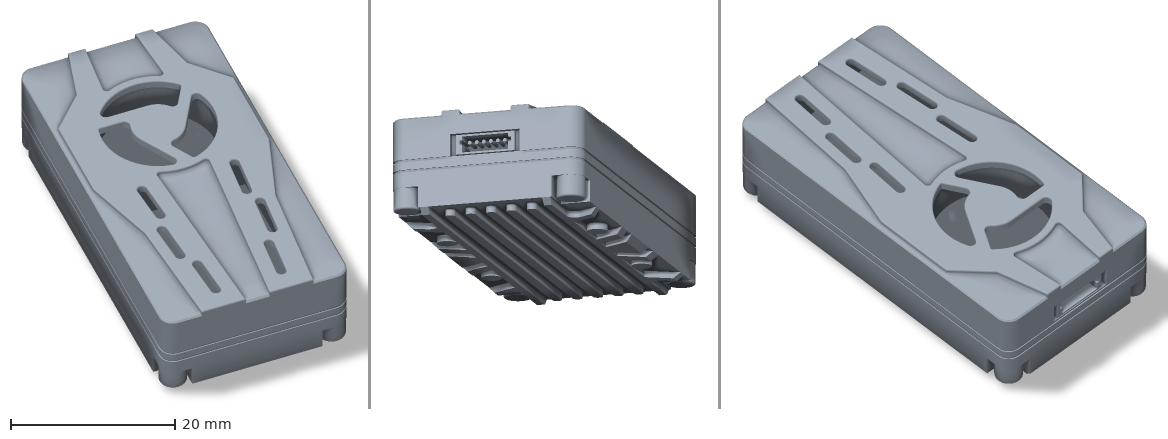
import cadquery as cq
import math

length = 47.45
width = 24.5
height = 12.75
corner_radius = 1.8
half_length = length / 2
half_width = width / 2
tolerance = 0.005

body_bottom = 0.8
relief_height = 0.55
lid_level = height - relief_height
lid_chamfer = 0.25
relief_fillet = 0.25
seam_levels = (5.5, 6.8)
seam_width = 0.3
seam_depth = 0.15
chamber_floor = 6.95
chamber_ceiling = 11.65

foot_top = 3.45
foot_radius = 1.75
foot_clearance = 0.1
foot_pocket = 2 * corner_radius + foot_clearance
foot_fillet = 0.25

strip_outer = 8.3
strip_inner = 7.3
fin_count = 5
fin_width = 1.25
fin_pitch = 2.6
fin_length = 43.65
notch_lean = 0.52
corner_notch_start = 17.45
notch_fillet = 1.05
side_notches = ((7.2, 16.05), (3.35, 5.15))
post_x = 8.83
post_radius = 1.3

relief_outline = [
    (-half_length, 5.55), (-16.75, 7.3), (-12.2, 11.6),
    (-0.8, 11.6), (8.5, 8.65), (half_length, 7.35),
]
relief_channels = ((-1, 3.27, 4.0), (1, 1.55, 3.45))
channel_fillet = 0.45

fan_x = -8.35
fan_ring_radius = 8.3
fan_opening_radius = 7.25
fan_hub_radius = 3.4
fan_spoke_offset = 1.9
fan_spoke_angle = 150.0
fan_blades = 3
fan_tip_fillet = 0.25
fan_corner_fillet = 0.65
fan_chamber_radius = 7.6
rim_fillet = 0.25

slot_length = 6.1
slot_width = 1.2
slot_angle = 4.7
slot_centres = ((3.9, 5.9), (11.2, 6.25), (18.3, 4.5))
vent_chamber_start = 0.0
vent_chamber_end = 21.85
vent_chamber_half_width = 8.05
vent_ledge_start = 14.25
vent_ledge_y = 4.45
vent_ledge_height = 1.4

socket_half_width = 4.45
socket_top = 9.7
socket_depth = 0.7
plug_half_width = 3.75
plug_bottom = 7.05
plug_top = 9.55
plug_setback = 0.15
mouth_half_width = 2.95
mouth_bottom = 7.3
mouth_top = 9.3
mouth_depth = 3.3
key_half_width = 3.27
key_bottom = 8.3
key_top = 8.83
pin_count = 6
pin_pitch = 0.9
pin_level = 8.7
pin_radius = 0.25
pin_length = 2.35


def box(x_min, x_max, y_min, y_max, z_min, z_max):
    """Box given by its limits along each axis."""
    return cq.Workplane("XY").box(
        x_max - x_min, y_max - y_min, z_max - z_min, centered=False
    ).translate((x_min, y_min, z_min))


def rounded_block(z_min, z_max, inset=0.0):
    """Block with the outline of the enclosure, optionally inset."""
    x = half_length - inset
    y = half_width - inset
    block = box(-x, x, -y, y, z_min, z_max)
    return block.edges("|Z").fillet(corner_radius - inset)


def prism(points, z_min, z_max):
    """Upright prism over a closed outline."""
    return cq.Workplane("XY").workplane(offset=z_min).polyline(points).close().extrude(z_max - z_min)


def four_corners(shape):
    """The shape together with its mirror images across the XZ and YZ planes."""
    pair = shape.union(shape.mirror("XZ"))
    return pair.union(pair.mirror("YZ"))


def make_body():
    """Rounded body with a chamfered lid and two seams around its walls."""
    body = rounded_block(body_bottom, lid_level)
    body = body.faces(">Z").edges().chamfer(lid_chamfer)
    for level in seam_levels:
        z_min = level - seam_width / 2
        z_max = level + seam_width / 2
        seam = rounded_block(z_min, z_max).cut(rounded_block(z_min, z_max, seam_depth))
        body = body.cut(seam)
    return body


def make_feet():
    """Round feet, centred on the axes of the rounded corners."""
    foot = (
        cq.Workplane("XY").workplane(offset=body_bottom)
        .center(half_length - corner_radius, half_width - corner_radius)
        .circle(foot_radius).extrude(foot_top - body_bottom)
        .faces("<Z").edges().fillet(foot_fillet)
    )
    return four_corners(foot)


def make_foot_pockets():
    """Square pockets around the feet."""
    pocket = box(
        half_length - foot_pocket, half_length, half_width - foot_pocket, half_width, body_bottom, foot_top
    )
    return four_corners(pocket)


def channel(side, end_half_width, fan_half_width):
    """Sunken channel between an end face and the fan, closed by an arc around the fan."""
    corner_x = fan_x + side * math.sqrt(fan_ring_radius**2 - fan_half_width**2)
    cutter = (
        cq.Workplane("XY").workplane(offset=lid_level - lid_chamfer)
        .moveTo(side * half_length, end_half_width)
        .lineTo(corner_x, fan_half_width)
        .threePointArc((fan_x + side * fan_ring_radius, 0), (corner_x, -fan_half_width))
        .lineTo(side * half_length, -end_half_width)
        .close().extrude(relief_height + lid_chamfer)
    )
    fan_edges = cutter.edges("|Z").edges("<X" if side > 0 else ">X")
    return fan_edges.fillet(channel_fillet)


def make_relief():
    """Sharp prism of the raised pattern, running down past the chamfer of the lid."""
    lower_half = [(x, -y) for x, y in reversed(relief_outline)]
    relief = prism(relief_outline + lower_half, lid_level - lid_chamfer, height)
    for side, end_half_width, fan_half_width in relief_channels:
        relief = relief.cut(channel(side, end_half_width, fan_half_width))
    return relief


def edges_inside(body, inset, level):
    """Edges at one level that lie wholly within the inset outline of the enclosure."""
    x = half_length - inset
    y = half_width - inset
    found = cq.selectors.BoxSelector((-x, -y, level - tolerance), (x, y, level + tolerance))
    return body.edges(found)


def add_relief(body):
    """Body with the raised pattern on its lid, rounded along its top and its foot."""
    body = body.union(make_relief())
    body = edges_inside(body, tolerance, height).fillet(relief_fillet)
    body = edges_inside(body, lid_chamfer + tolerance, lid_level).fillet(relief_fillet)
    return body.cut(make_end_rounding())


def make_end_rounding():
    """Waste outside the rounded upper edges of the raised pattern at both end faces."""
    x_min = half_length - relief_fillet
    z_min = height - relief_fillet
    waste = box(x_min, half_length, -half_width, half_width, z_min, height)
    round_edge = (
        cq.Workplane("XZ").workplane(offset=-half_width)
        .center(x_min, z_min).circle(relief_fillet).extrude(width)
    )
    waste = waste.cut(round_edge)
    return waste.union(waste.mirror("YZ"))


def make_fan_opening():
    """One of the three openings: outside the hub, between a spoke and a tangent of the hub."""
    spoke_angle = math.radians(fan_spoke_angle)
    spoke = (math.cos(spoke_angle), math.sin(spoke_angle))
    spoke_normal = (math.sin(spoke_angle), -math.cos(spoke_angle))

    def spoke_point(radius):
        along = math.sqrt(radius**2 - fan_spoke_offset**2)
        return tuple(along * s + fan_spoke_offset * n for s, n in zip(spoke, spoke_normal))

    hub_corner = spoke_point(fan_hub_radius)
    hub_middle_angle = (math.pi + math.atan2(hub_corner[1], hub_corner[0])) / 2
    hub_middle = (fan_hub_radius * math.cos(hub_middle_angle), fan_hub_radius * math.sin(hub_middle_angle))
    tangent_end = (-fan_hub_radius, -math.sqrt(fan_opening_radius**2 - fan_hub_radius**2))
    return (
        cq.Workplane("XY").workplane(offset=chamber_ceiling)
        .moveTo(-fan_hub_radius, 0)
        .threePointArc(hub_middle, hub_corner)
        .lineTo(*spoke_point(fan_opening_radius))
        .threePointArc((-fan_opening_radius, 0), tangent_end)
        .close().extrude(height - chamber_ceiling)
    )


def make_heat_sink():
    """Fins and notched side strips under the body, with the outer sides bevelled at 45 degrees."""
    sink = (
        cq.Workplane("XY").workplane(offset=body_bottom).sketch().rect(length, width)
        .vertices().fillet(corner_radius).finalize().extrude(-body_bottom, taper=45)
    )
    sink = sink.cut(box(-half_length, half_length, -strip_inner, strip_inner, 0, body_bottom))
    for index in range(fin_count):
        fin_y = (index - (fin_count - 1) / 2) * fin_pitch
        fin = (
            cq.Workplane("XY").center(0, fin_y)
            .slot2D(fin_length, fin_width).extrude(body_bottom)
        )
        sink = sink.union(fin)

    depth = half_width - strip_outer
    lean = notch_lean * depth
    corner_notch = prism(
        [
            (half_length, strip_outer), (corner_notch_start - lean, strip_outer),
            (corner_notch_start, half_width), (half_length, half_width),
        ],
        0, body_bottom,
    ).edges("|Z").edges("<X").fillet(notch_fillet)
    sink = sink.cut(four_corners(corner_notch))
    for start, end in side_notches:
        notch = prism(
            [
                (start - lean, strip_outer), (end - lean, strip_outer),
                (end, half_width), (start, half_width),
            ],
            0, body_bottom,
        )
        sink = sink.cut(four_corners(notch))

    post_y = strip_outer + post_radius
    post = cq.Workplane("XY").center(post_x, post_y).circle(post_radius).extrude(body_bottom)
    return sink.union(four_corners(post))


def cut_rimmed_openings(body):
    """Cut the fan openings and the vent slots through the lid and round their rims."""
    body = body.cut(make_vent_slots()).cut(make_fan_openings())
    top_face = body.faces(">Z").val()
    rims = [edge for wire in top_face.innerWires() for edge in wire.Edges()]
    return body.newObject(rims).fillet(rim_fillet)


def make_vent_slots():
    """Slots through the lid, mirrored across the X axis and following the channel edges."""
    slots = cq.Workplane("XY")
    for x, y in slot_centres:
        for side in (-1, 1):
            slot = (
                cq.Workplane("XY").workplane(offset=chamber_ceiling).slot2D(slot_length, slot_width)
                .extrude(height - chamber_ceiling)
                .rotate((0, 0, 0), (0, 0, 1), -side * slot_angle).translate((x, side * y, 0))
            )
            slots = slots.add(slot)
    return slots.combine()


def make_fan_openings():
    """Three openings spaced evenly around the fan axis."""
    opening = make_fan_opening()
    opening = opening.edges("|Z").edges(">Y").fillet(fan_tip_fillet)
    opening = opening.edges("|Z").edges(">X or <Y").fillet(fan_corner_fillet)
    openings = cq.Workplane("XY")
    for index in range(fan_blades):
        turned = opening.rotate((0, 0, 0), (0, 0, 1), index * 360 / fan_blades)
        openings = openings.add(turned.translate((fan_x, 0, 0)))
    return openings.combine()


def make_chamber():
    """Hollow below the lid: a round fan chamber and a box under the vent slots."""
    fan_chamber = (
        cq.Workplane("XY").workplane(offset=chamber_floor).center(fan_x, 0)
        .circle(fan_chamber_radius).extrude(chamber_ceiling - chamber_floor)
    )
    vent_chamber = box(
        vent_chamber_start, vent_chamber_end, -vent_chamber_half_width, vent_chamber_half_width,
        chamber_floor, chamber_ceiling,
    )
    ledge = box(
        vent_ledge_start, vent_chamber_end, vent_ledge_y, vent_chamber_half_width,
        chamber_floor, chamber_floor + vent_ledge_height,
    )
    ledges = ledge.union(ledge.mirror("XZ"))
    return fan_chamber.union(vent_chamber.cut(ledges))


def make_socket():
    """Recess in the -X face, around the connector."""
    x_max = -half_length + socket_depth
    recess = box(-half_length, x_max, -socket_half_width, socket_half_width, chamber_floor, socket_top)
    x_min = -half_length + plug_setback
    plug = box(x_min, x_max, -plug_half_width, plug_half_width, plug_bottom, plug_top)
    return recess.cut(plug)


def make_mouth():
    """Opening of the connector, with its side keyways and its pins left standing."""
    x_max = -half_length + mouth_depth
    mouth = box(-half_length, x_max, -mouth_half_width, mouth_half_width, mouth_bottom, mouth_top)
    keyways = box(-half_length, x_max, -key_half_width, key_half_width, key_bottom, key_top)
    mouth = mouth.union(keyways)
    for index in range(pin_count):
        pin_y = (index - (pin_count - 1) / 2) * pin_pitch
        pin = (
            cq.Workplane("YZ").workplane(offset=x_max - pin_length)
            .center(pin_y, pin_level).circle(pin_radius).extrude(pin_length)
        )
        mouth = mouth.cut(pin)
    return mouth


body = make_body().cut(make_foot_pockets()).union(make_feet())
body = cut_rimmed_openings(add_relief(body))
body = body.cut(make_chamber()).cut(make_socket()).cut(make_mouth())
result = body.union(make_heat_sink())